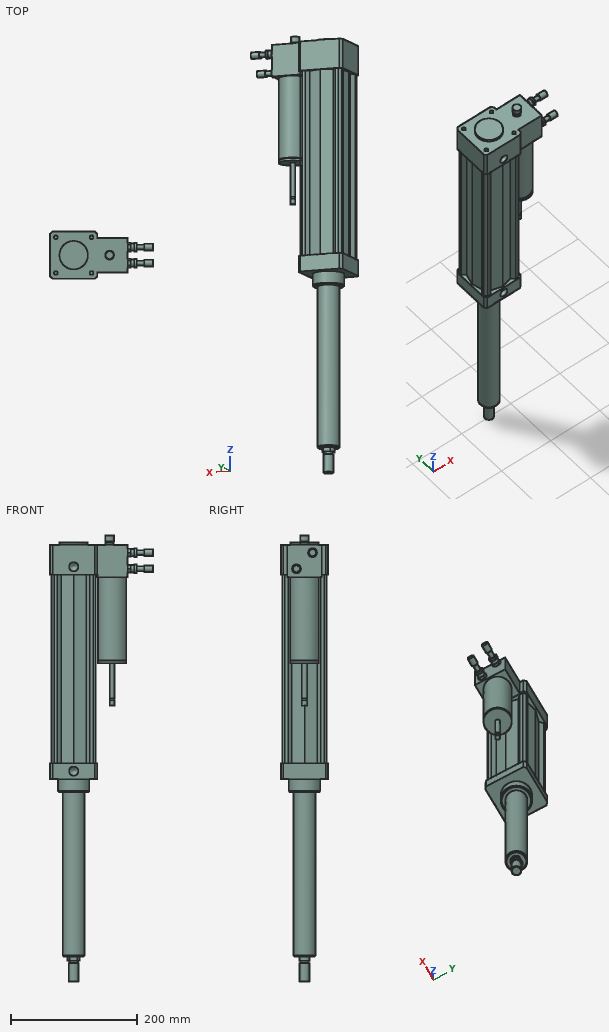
import cadquery as cq
import math


head_side = 75.0
corner_chamfer = 4.0
head_height = 47.0
block_height = 51.0
block_width = 55.0
block_end_x = 85.5
foot_top_z = -345.0
foot_height = 25.5
foot_bottom_z = foot_top_z - foot_height

top_disc_diameter = 45.0
top_disc_height = 4.0

screw_hole_spacing = 56.5
screw_hole_diameter = 6.0
screw_hole_depth = 10.0

port_diameter = 14.5
port_depth = 10.0
port_tip_depth = 7.0
head_port_z = -34.5
foot_port_z = foot_top_z - foot_height / 2

barrel_half = 35.3
barrel_chamfer = 4.3
groove_outer = 25.8
groove_inner = 19.8
groove_depth = groove_outer - groove_inner
ridge_half = 34.5

collar_diameter = 50.0
collar_height = 20.5
collar_chamfer = 2.0
collar_bottom_z = foot_bottom_z - collar_height

canister_x = 60.8
canister_diameter = 45.0
canister_bottom_z = -187.5
canister_groove_z = -182.5
canister_groove_width = 1.0
canister_groove_depth = 0.5
stem_diameter = 8.0
stem_bottom_z = -254.0
stem_groove_top_z = -242.5
stem_groove_width = 3.0
stem_groove_diameter = 7.0

knob_x = 56.8
knob_foot_diameter = 13.0
knob_foot_top_z = 3.3
knob_relief_diameter = 12.0
knob_bottom_z = 5.5
knob_diameter = 14.0
knob_top_z = 15.0

rod_diameter = 35.0
rod_chamfer = 2.0
rod_bottom_z = -651.0
wrench_diameter = 20.0
wrench_flats = 16.0
wrench_length = 6.5
neck_diameter = 14.0
neck_length = 3.5
thread_diameter = 16.0
thread_chamfer = 1.0
thread_end_z = -691.0

fitting_offset = 12.75
fitting_middle_z = -24.9
hex_corner_diameter = 14.5
hex_length = 4.5
fitting_body_diameter = 12.0
rib_diameter = 14.0
rib_start = 10.6
rib_end = 14.6
tube_diameter = 8.0
tube_end = 26.0
tip_diameter = 11.0
fitting_length = 40.0


def cylinder(diameter, z_start, z_end, x=0.0):
    """Vertical cylinder between two heights, centred at (x, 0)."""
    plane = cq.Workplane("XY", origin=(x, 0, z_start))
    return plane.circle(diameter / 2).extrude(z_end - z_start)


def square_plate(z_start, z_end):
    """Square plate with bevelled vertical corners."""
    plate = cq.Workplane("XY", origin=(0, 0, z_start)).rect(head_side, head_side)
    return plate.extrude(z_end - z_start).edges("|Z").chamfer(corner_chamfer)


def barrel():
    """Four-sided tube profile: chamfered corner lobes, sloped grooves and a low central ridge."""
    corner = barrel_half - barrel_chamfer
    side = [
        (-corner, -barrel_half),
        (-groove_outer, -barrel_half),
        (-groove_inner, -barrel_half + groove_depth),
        (0, -ridge_half),
        (groove_inner, -barrel_half + groove_depth),
        (groove_outer, -barrel_half),
        (corner, -barrel_half),
    ]
    outline = []
    for quarter in range(4):
        cos_q = round(math.cos(quarter * math.pi / 2))
        sin_q = round(math.sin(quarter * math.pi / 2))
        outline += [(x * cos_q - y * sin_q, x * sin_q + y * cos_q) for x, y in side]
    profile = cq.Workplane("XY", origin=(0, 0, foot_top_z)).polyline(outline).close()
    return profile.extrude(-head_height - foot_top_z)


def port(z):
    """Drilled port in the -Y face, ending in a cone."""
    face_y = -head_side / 2
    radius = port_diameter / 2
    half_section = [
        (0, face_y),
        (radius, face_y),
        (radius, face_y + port_depth),
        (0, face_y + port_depth + port_tip_depth),
    ]
    section = cq.Workplane("XY", origin=(0, 0, z)).polyline(half_section).close()
    return section.revolve(360, (0, 0, 0), (0, 1, 0))


def ring(outer, inner, z_start, z_end, x):
    """Ring used to cut a groove around a vertical cylinder."""
    return cylinder(outer, z_start, z_end, x).cut(cylinder(inner, z_start, z_end, x))


def make_canister():
    groove_diameter = canister_diameter - 2 * canister_groove_depth
    groove_bottom_z = canister_groove_z - canister_groove_width
    stem_groove_bottom_z = stem_groove_top_z - stem_groove_width
    canister = cylinder(canister_diameter, canister_bottom_z, -block_height, canister_x)
    canister = canister.cut(
        ring(canister_diameter, groove_diameter, groove_bottom_z, canister_groove_z, canister_x)
    )
    stem = cylinder(stem_diameter, stem_bottom_z, canister_bottom_z, canister_x)
    stem = stem.cut(
        ring(stem_diameter, stem_groove_diameter, stem_groove_bottom_z, stem_groove_top_z, canister_x)
    )
    return canister.union(stem)


def make_knob():
    foot = cylinder(knob_foot_diameter, 0, knob_foot_top_z, knob_x)
    relief = cylinder(knob_relief_diameter, knob_foot_top_z, knob_bottom_z, knob_x)
    grip = cylinder(knob_diameter, knob_bottom_z, knob_top_z, knob_x)
    return foot.union(relief).union(grip)


def make_housing():
    block_start_x = head_side / 2
    block_length = block_end_x - block_start_x
    block = cq.Workplane("XY").box(block_length, block_width, block_height, centered=(False, True, False))
    block = block.translate((block_start_x, 0, -block_height))

    collar = cylinder(collar_diameter, collar_bottom_z, foot_bottom_z)
    collar = collar.faces("<Z").edges().chamfer(collar_chamfer)

    body = square_plate(-head_height, 0).union(block)
    body = body.union(barrel())
    body = body.union(square_plate(foot_bottom_z, foot_top_z))
    body = body.union(collar)
    body = body.union(cylinder(top_disc_diameter, 0, top_disc_height))
    body = body.union(make_canister())
    body = body.union(make_knob())

    screw_holes = cq.Workplane("XY").rect(screw_hole_spacing, screw_hole_spacing, forConstruction=True)
    screw_holes = screw_holes.vertices().circle(screw_hole_diameter / 2).extrude(-screw_hole_depth)
    body = body.cut(screw_holes)
    for port_z in (head_port_z, foot_port_z):
        body = body.cut(port(port_z))
    return body.cut(cylinder(rod_diameter, collar_bottom_z, foot_top_z))


def make_rod():
    """Piston rod with wrench flats facing +Y and -Y, a relief neck and a threaded end."""
    wrench_bottom_z = rod_bottom_z - wrench_length
    thread_top_z = wrench_bottom_z - neck_length
    shaft = cylinder(rod_diameter, rod_bottom_z, foot_top_z).faces("<Z").edges().chamfer(rod_chamfer)
    flats = cq.Workplane("XY", origin=(0, 0, wrench_bottom_z)).rect(wrench_diameter, wrench_flats)
    wrench = cylinder(wrench_diameter, wrench_bottom_z, rod_bottom_z).intersect(flats.extrude(wrench_length))
    neck = cylinder(neck_diameter, thread_top_z, wrench_bottom_z)
    thread = cylinder(thread_diameter, thread_end_z, thread_top_z).faces("|Z").edges().chamfer(thread_chamfer)
    return shaft.union(wrench).union(neck).union(thread)


def make_fitting(y, z):
    """Hose fitting pointing along +X from the end face of the block."""

    def base(start):
        return cq.Workplane("YZ", origin=(block_end_x + start, y, z))

    fitting = base(0).polygon(6, hex_corner_diameter).extrude(hex_length)
    fitting = fitting.union(base(0).circle(fitting_body_diameter / 2).extrude(rib_end))
    fitting = fitting.union(base(rib_start).circle(rib_diameter / 2).extrude(rib_end - rib_start))
    fitting = fitting.union(base(0).circle(tube_diameter / 2).extrude(tube_end))
    return fitting.union(base(tube_end).circle(tip_diameter / 2).extrude(fitting_length - tube_end))


housing = make_housing()
rod = make_rod()
fittings = [
    make_fitting(side * fitting_offset, fitting_middle_z + side * fitting_offset) for side in (1, -1)
]

result = cq.Compound.makeCompound([housing.val(), rod.val(), *[fitting.val() for fitting in fittings]])